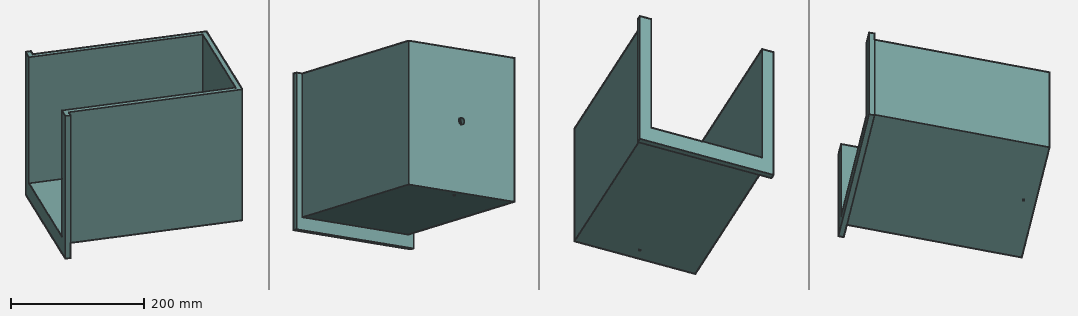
import cadquery as cq

flange_width = 218.0
total_depth = 280.0
total_height = 242.0

wall = 8.5
box_width = 197.0
flange_thickness = 8.5
flange_drop = 20.0
back_hole_diameter = 10.0
floor_hole_diameter = 2.5
floor_hole_inset = 19.0

box_height = total_height - flange_drop
inner_width = box_width - 2 * wall


def block(width, depth, height, bottom):
    """Block centred on X, starting at the front plane Y = 0."""
    return (
        cq.Workplane("XY")
        .box(width, depth, height, centered=(True, False, False))
        .translate((0, 0, bottom))
    )


box = block(box_width, total_depth, box_height, 0)
flange = block(flange_width, flange_thickness, total_height, -flange_drop)
cavity = block(inner_width, total_depth - wall, box_height - wall, wall)

back_hole = (
    cq.Workplane("XZ", origin=(0, total_depth, box_height / 2))
    .circle(back_hole_diameter / 2)
    .extrude(wall)
)

floor_hole = (
    cq.Workplane("XY", origin=(0, total_depth - floor_hole_inset, 0))
    .circle(floor_hole_diameter / 2)
    .extrude(wall)
)

result = box.union(flange).cut(cavity).cut(back_hole).cut(floor_hole)